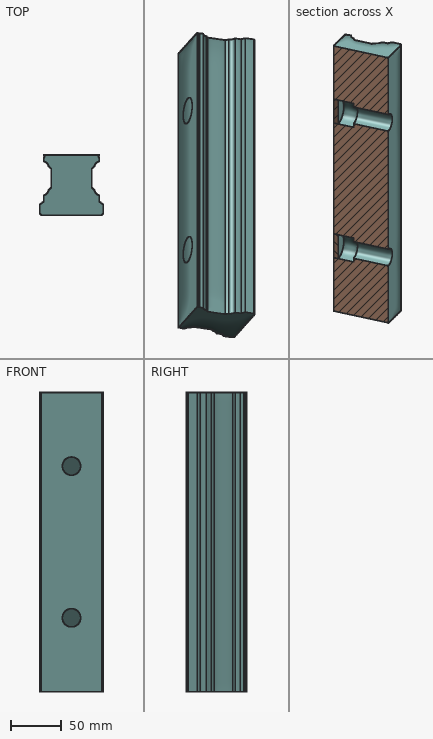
import cadquery as cq
import math

LENGTH = 296.0
HEIGHT = 59.8
BASE_HALF_WIDTH = 63.0 / 2
HEAD_HALF_WIDTH = 27.5
NECK_HALF_WIDTH = 20.0
STEP_HALF_WIDTH = 22.8

BASE_CHAMFER = 1.8
BASE_SIDE_TOP = 10.7
SHOULDER_BOTTOM = 13.5
SHOULDER_TOP = 19.8
LOWER_RACEWAY_END = 25.0
NECK_BOTTOM = 27.5
NECK_TOP = 46.2
UPPER_RACEWAY_START = 48.5
HEAD_BOTTOM = 53.3
RACEWAY_SAG = 0.98
HEAD_GROOVE_WIDTH = 3.0
HEAD_GROOVE_DEPTH = 0.75
HEAD_GROOVE_APEX = 2.0

BORE_DIAMETER = 18.0
COUNTERBORE_DIAMETER = 26.0
COUNTERBORE_DEPTH = 22.0
CAP_THICKNESS = 5.0
BORE_PITCH = 150.0
FIRST_BORE_Z = 73.0
BORE_HEIGHTS = [FIRST_BORE_Z + i * BORE_PITCH for i in range(2)]


def cylinder_along_y(diameter, y_start, length, z):
    """Solid cylinder on the rail's centre plane, running in +Y."""
    return cq.Workplane(
        cq.Solid.makeCylinder(diameter / 2, length, cq.Vector(0, y_start, z), cq.Vector(0, 1, 0))
    )


def raceway(outline, start, end):
    """Add an arc bowed into the rail, square to its chord, between two profile points."""
    along_x = end[0] - start[0]
    along_y = end[1] - start[1]
    chord = math.hypot(along_x, along_y)
    inward_x = -abs(along_y) / chord
    inward_y = abs(along_x) / chord * math.copysign(1, along_x * along_y)
    sag_point = (
        (start[0] + end[0]) / 2 + RACEWAY_SAG * inward_x,
        (start[1] + end[1]) / 2 + RACEWAY_SAG * inward_y,
    )
    return outline.threePointArc(sag_point, end)


def make_rail_blank():
    """Extrude half of the section and mirror it about the centre plane."""
    lower_start = (HEAD_HALF_WIDTH, SHOULDER_TOP)
    lower_end = (STEP_HALF_WIDTH, LOWER_RACEWAY_END)
    upper_start = (STEP_HALF_WIDTH, UPPER_RACEWAY_START)
    upper_end = (HEAD_HALF_WIDTH, HEAD_BOTTOM)

    outline = (
        cq.Workplane("XY")
        .moveTo(0, 0)
        .lineTo(BASE_HALF_WIDTH - BASE_CHAMFER, 0)
        .lineTo(BASE_HALF_WIDTH, BASE_CHAMFER)
        .lineTo(BASE_HALF_WIDTH, BASE_SIDE_TOP)
        .lineTo(HEAD_HALF_WIDTH, SHOULDER_BOTTOM)
        .lineTo(*lower_start)
    )
    outline = raceway(outline, lower_start, lower_end)
    outline = outline.lineTo(NECK_HALF_WIDTH, NECK_BOTTOM).lineTo(NECK_HALF_WIDTH, NECK_TOP)
    outline = outline.lineTo(*upper_start)
    outline = raceway(outline, upper_start, upper_end)
    half = (
        outline
        .lineTo(HEAD_HALF_WIDTH, HEIGHT - HEAD_GROOVE_WIDTH)
        .lineTo(HEAD_HALF_WIDTH - HEAD_GROOVE_DEPTH, HEIGHT - HEAD_GROOVE_APEX)
        .lineTo(HEAD_HALF_WIDTH, HEIGHT)
        .lineTo(0, HEIGHT)
        .close()
        .extrude(LENGTH)
    )
    return half.union(half.mirror("YZ")).clean()


def make_rail():
    """Rail with its through bores and counterbores."""
    rail = make_rail_blank()
    for z in BORE_HEIGHTS:
        rail = rail.cut(cylinder_along_y(BORE_DIAMETER, 0, HEIGHT, z))
        counterbore_floor = HEIGHT - COUNTERBORE_DEPTH
        rail = rail.cut(cylinder_along_y(COUNTERBORE_DIAMETER, counterbore_floor, COUNTERBORE_DEPTH, z))
    return rail


def make_cap(z):
    """Disc that seals the mouth of one counterbore."""
    return cylinder_along_y(COUNTERBORE_DIAMETER, HEIGHT - CAP_THICKNESS, CAP_THICKNESS, z)


rail = make_rail()
caps = [make_cap(z) for z in BORE_HEIGHTS]

result = cq.Compound.makeCompound([rail.val(), *[cap.val() for cap in caps]])